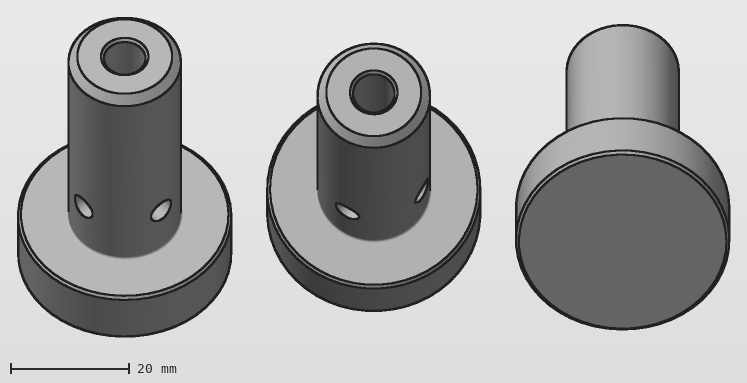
import cadquery as cq
import math

TOTAL_HEIGHT = 54.0

FLANGE_RADIUS = 36.0 / 2
FLANGE_HEIGHT = 11.0
FLANGE_CHAMFER = 0.5

SHAFT_RADIUS = 19.0 / 2
SHAFT_TOP_CHAMFER = 1.5
SHAFT_BASE_FILLET = 0.4

BORE_RADIUS = 7.0 / 2
BORE_DEPTH = 35.0
BORE_MOUTH_RADIUS = 8.0 / 2
DRILL_POINT_ANGLE = 140.0

CROSS_HOLE_RADIUS = 4.5 / 2
CROSS_HOLE_HEIGHT = 21.0


def make_body():
    """Flange and shaft turned in one piece around the Z axis."""
    fillet_top = FLANGE_HEIGHT + SHAFT_BASE_FILLET
    fillet_outer_radius = SHAFT_RADIUS + SHAFT_BASE_FILLET
    arc_offset = SHAFT_BASE_FILLET * (1 - math.cos(math.radians(45)))
    fillet_middle = (SHAFT_RADIUS + arc_offset, FLANGE_HEIGHT + arc_offset)
    profile = (
        cq.Workplane("XZ")
        .lineTo(FLANGE_RADIUS - FLANGE_CHAMFER, 0)
        .lineTo(FLANGE_RADIUS, FLANGE_CHAMFER)
        .lineTo(FLANGE_RADIUS, FLANGE_HEIGHT - FLANGE_CHAMFER)
        .lineTo(FLANGE_RADIUS - FLANGE_CHAMFER, FLANGE_HEIGHT)
        .lineTo(fillet_outer_radius, FLANGE_HEIGHT)
        .threePointArc(fillet_middle, (SHAFT_RADIUS, fillet_top))
        .lineTo(SHAFT_RADIUS, TOTAL_HEIGHT - SHAFT_TOP_CHAMFER)
        .lineTo(SHAFT_RADIUS - SHAFT_TOP_CHAMFER, TOTAL_HEIGHT)
        .lineTo(0, TOTAL_HEIGHT)
        .close()
    )
    return profile.revolve(360, (0, 0, 0), (0, 1, 0))


def make_bore():
    """Blind bore with a 45 degree mouth chamfer and a conical bottom."""
    bore_bottom = TOTAL_HEIGHT - BORE_DEPTH
    point_depth = BORE_RADIUS / math.tan(math.radians(DRILL_POINT_ANGLE / 2))
    mouth_chamfer = BORE_MOUTH_RADIUS - BORE_RADIUS
    profile = (
        cq.Workplane("XZ")
        .moveTo(0, bore_bottom - point_depth)
        .lineTo(BORE_RADIUS, bore_bottom)
        .lineTo(BORE_RADIUS, TOTAL_HEIGHT - mouth_chamfer)
        .lineTo(BORE_MOUTH_RADIUS, TOTAL_HEIGHT)
        .lineTo(0, TOTAL_HEIGHT)
        .close()
    )
    return profile.revolve(360, (0, 0, 0), (0, 1, 0))


def make_cross_hole(plane):
    """Cylinder crossing the whole shaft, normal to the given vertical plane."""
    return (
        cq.Workplane(plane)
        .center(0, CROSS_HOLE_HEIGHT)
        .circle(CROSS_HOLE_RADIUS)
        .extrude(2 * SHAFT_RADIUS, both=True)
    )


result = make_body().cut(make_bore())
for hole_plane in ("XZ", "YZ"):
    result = result.cut(make_cross_hole(hole_plane))